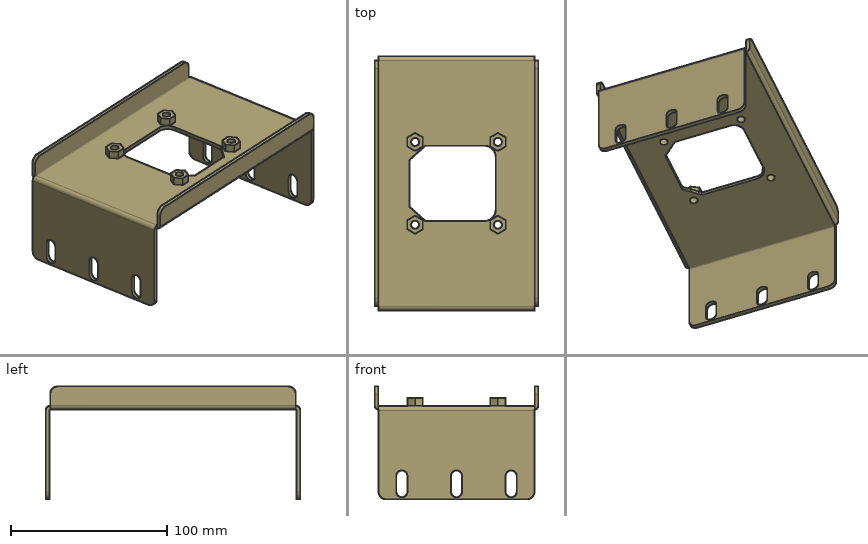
import cadquery as cq

overall_width = 105.0
overall_length = 163.0
leg_height = 60.0
side_flange_rise = 12.5
sheet = 2.5
bend_inner_radius = 0.3
bend_outer_radius = bend_inner_radius + sheet
corner_radius = 5.0

leg_width = overall_width - 2 * sheet
side_flange_length = overall_length - 2 * bend_outer_radius
side_flange_height = side_flange_rise + sheet

slot_width = 7.0
slot_length = 17.0
slot_pitch = 35.0
slot_center_height = 10.0

spacer_pitch = 53.0
spacer_across_flats = 10.0
spacer_height = 5.0
spacer_bore = 5.0

window_left = -30.0
window_right = 25.0
window_width = 48.0
window_chamfer_x = 10.0
window_chamfer_y = 9.0
window_radius = 7.0

plate_bottom = -sheet
leg_foot = -leg_height


def bent_channel(length, span, height):
    """U channel along X, open upward, base underside at Z = 0, with bent corners."""
    outer = (
        cq.Workplane("XY")
        .box(length, span, height, centered=(True, True, False))
        .edges("|X and <Z")
        .fillet(bend_outer_radius)
    )
    inner = (
        cq.Workplane("XY")
        .box(length, span - 2 * sheet, height, centered=(True, True, False))
        .edges("|X and <Z")
        .fillet(bend_inner_radius)
        .translate((0, 0, sheet))
    )
    return outer.cut(inner).edges("|Y and >Z").fillet(corner_radius)


def leg_channel():
    """Plate with the two slotted end legs folded down."""
    channel = bent_channel(leg_width, overall_length, leg_height)
    channel = channel.rotate((0, 0, 0), (1, 0, 0), 180)
    slots = (
        cq.Workplane("XZ")
        .pushPoints([(i * slot_pitch, leg_foot + slot_center_height) for i in (-1, 0, 1)])
        .slot2D(slot_length, slot_width, angle=90)
        .extrude(overall_length / 2, both=True)
    )
    return channel.cut(slots)


def side_channel():
    """Plate with the two side flanges folded up."""
    channel = bent_channel(side_flange_length, overall_width, side_flange_height)
    return channel.rotate((0, 0, 0), (0, 0, 1), 90).translate((0, 0, plate_bottom))


def window():
    """Cutter for the plate window."""
    half_width = window_width / 2
    cutter = (
        cq.Workplane("XY", origin=(0, 0, plate_bottom))
        .moveTo(window_right, -half_width)
        .lineTo(window_left + window_chamfer_x, -half_width)
        .lineTo(window_left, -half_width + window_chamfer_y)
        .lineTo(window_left, half_width - window_chamfer_y)
        .lineTo(window_left + window_chamfer_x, half_width)
        .lineTo(window_right, half_width)
        .close()
        .extrude(sheet)
    )
    return cutter.edges("|Z and >X").fillet(window_radius)


def at_spacers():
    """Workplane on the plate top with a point at each spacer axis."""
    return cq.Workplane("XY").rect(spacer_pitch, spacer_pitch, forConstruction=True).vertices()


def spacer_posts():
    """Solid hex posts with flats facing +X and -X."""
    hexagon = cq.Workplane("XY").polygon(6, spacer_across_flats, circumscribed=True)
    post = hexagon.extrude(spacer_height).val()
    return at_spacers().eachpoint(lambda place: post.moved(place), combine=False)


def spacer_bores():
    """Cutters through the spacers and the plate beneath them."""
    depth = spacer_height + sheet
    cutters = at_spacers().circle(spacer_bore / 2).extrude(depth)
    return cutters.translate((0, 0, plate_bottom))


result = leg_channel().union(side_channel()).cut(window())
result = result.union(spacer_posts()).cut(spacer_bores())